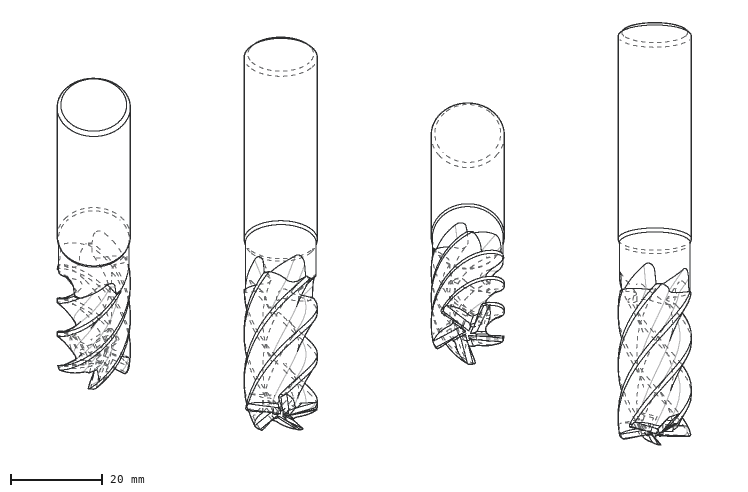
import cadquery as cq
import math

total_length = 92.0
shank_diameter = 16.0
cutting_length = 32.0
neck_diameter = 15.5
neck_top = 43.9
neck_cone_height = 0.8
shank_chamfer = 0.8

tooth_count = 5
helix_angle = 40.0
first_edge_angle = 36.6
margin_angle = 9.0
rake_root_radius = 5.5
rake_root_angle = 1.0
floor_start_radius = 4.3
floor_start_angle = -28.0
floor_middle_radius = 4.05
floor_middle_angle = -8.0
back_middle_radius = 6.35
back_middle_angle = -49.0

runout_height = 4.6
flute_reach = 12.0
runout_overrun = 1.3
runout_angle = -10.0

corner_chamfer = 0.4
gash_depth = 2.9
gash_lean = 2.4
gash_width = 1.4
gash_floor_width = 1.3
gash_inner_radius = 1.8
gash_outer_radius = 6.9
gash_plan_angle = 7.0
relief_start = 0.55
relief_land_width = 1.8
relief_land_rise = 0.6
relief_rise = 1.7

overrun = 0.9

radius = shank_diameter / 2
neck_radius = neck_diameter / 2
tooth_angle = 360.0 / tooth_count
pitch = math.pi * shank_diameter / math.tan(math.radians(helix_angle))
twist_per_length = 360.0 / pitch


def polar(distance, angle):
    """X and Y of a point at an angle in degrees from +X."""
    return (
        distance * math.cos(math.radians(angle)),
        distance * math.sin(math.radians(angle)),
    )


def turned_about_axis(shape, angle):
    return shape.rotate((0, 0, 0), (0, 0, 1), angle)


def flute_floor(outline, edge_angle):
    """Draws one flute inwards along the rake face and out along the back of the tooth ahead."""
    return (
        outline.lineTo(*polar(rake_root_radius, edge_angle + rake_root_angle))
        .threePointArc(
            polar(floor_middle_radius, edge_angle + floor_middle_angle),
            polar(floor_start_radius, edge_angle + floor_start_angle),
        )
        .threePointArc(
            polar(back_middle_radius, edge_angle + back_middle_angle),
            polar(radius, edge_angle + margin_angle - tooth_angle),
        )
    )


def fluted_bar():
    """The section with all the teeth, twisted along the cutting length."""
    outline = cq.Workplane("XY").moveTo(*polar(radius, first_edge_angle))
    for index in range(tooth_count):
        edge_angle = first_edge_angle - index * tooth_angle
        next_edge_angle = edge_angle - tooth_angle
        outline = flute_floor(outline, edge_angle).threePointArc(
            polar(radius, next_edge_angle + margin_angle / 2),
            polar(radius, next_edge_angle),
        )
    return outline.close().twistExtrude(cutting_length, cutting_length * twist_per_length)


def flute_runout():
    """Straight continuation of a flute whose floor rises until it leaves the neck."""
    edge_angle = first_edge_angle + cutting_length * twist_per_length
    outward = polar(neck_radius - floor_middle_radius, edge_angle + runout_angle)
    direction = cq.Vector(*outward, runout_height)
    outline = cq.Workplane("XY", origin=(0, 0, cutting_length)).moveTo(*polar(flute_reach, edge_angle))
    outline = flute_floor(outline.lineTo(*polar(radius, edge_angle)), edge_angle)
    outline = outline.lineTo(*polar(flute_reach, edge_angle + margin_angle - tooth_angle)).close()
    return cq.Solid.extrudeLinear(outline.val(), [], direction * runout_overrun)


def corner_ring():
    """Ring that bevels the outer corner of the teeth at the tip."""
    return (
        cq.Workplane("XZ")
        .moveTo(radius - corner_chamfer - overrun, -overrun)
        .lineTo(radius + overrun, corner_chamfer + overrun)
        .lineTo(radius + overrun, -overrun)
        .close()
        .revolve(360, (0, 0, 0), (0, 1, 0))
    )


def end_gash():
    """Notch that opens the flute towards the axis at the tip."""
    gash = (
        cq.Workplane("YZ", origin=(gash_inner_radius, 0, 0))
        .moveTo(0, -overrun)
        .lineTo(0, 0)
        .lineTo(gash_lean, gash_depth)
        .lineTo(gash_lean - gash_floor_width, gash_depth)
        .lineTo(-gash_width, 0)
        .lineTo(-gash_width, -overrun)
        .close()
        .extrude(radius)
    )
    pivot = (gash_outer_radius, 0, 0)
    gash = gash.rotate(pivot, (gash_outer_radius, 0, 1), -gash_plan_angle)
    return turned_about_axis(gash.val(), first_edge_angle)


def end_relief():
    """Space below the tip face of one tooth, which climbs away from its end edge."""
    reach = shank_diameter
    climb = (
        cq.Workplane("YZ")
        .moveTo(0, -overrun)
        .lineTo(0, 0)
        .lineTo(relief_start, 0)
        .lineTo(relief_land_width, relief_land_rise)
        .lineTo(reach, relief_rise)
        .lineTo(reach, -overrun)
        .close()
        .extrude(reach)
    )
    sector = (
        cq.Workplane("XY", origin=(0, 0, -overrun))
        .polyline([(0, 0), polar(reach, 0), polar(reach, tooth_angle)])
        .close()
        .extrude(2 * overrun + relief_rise)
    )
    return turned_about_axis(climb.intersect(sector).val(), first_edge_angle)


def cut_around(body, tool):
    for index in range(tooth_count):
        body = body.cut(cq.Workplane(turned_about_axis(tool, index * tooth_angle)))
    return body


def make_cutting_part():
    body = fluted_bar().cut(corner_ring())
    for tool in (end_gash(), end_relief()):
        body = cut_around(body, tool)
    return body


def make_shank():
    blank = (
        cq.Workplane("XZ")
        .moveTo(0, cutting_length)
        .lineTo(neck_radius, cutting_length)
        .lineTo(neck_radius, neck_top)
        .lineTo(radius, neck_top + neck_cone_height)
        .lineTo(radius, total_length - shank_chamfer)
        .lineTo(radius - shank_chamfer, total_length)
        .lineTo(0, total_length)
        .close()
        .revolve(360, (0, 0, 0), (0, 1, 0))
    )
    return cut_around(blank, flute_runout())


cutting_part = make_cutting_part()
shank = make_shank()

result = cq.Compound.makeCompound([cutting_part.val(), shank.val()])